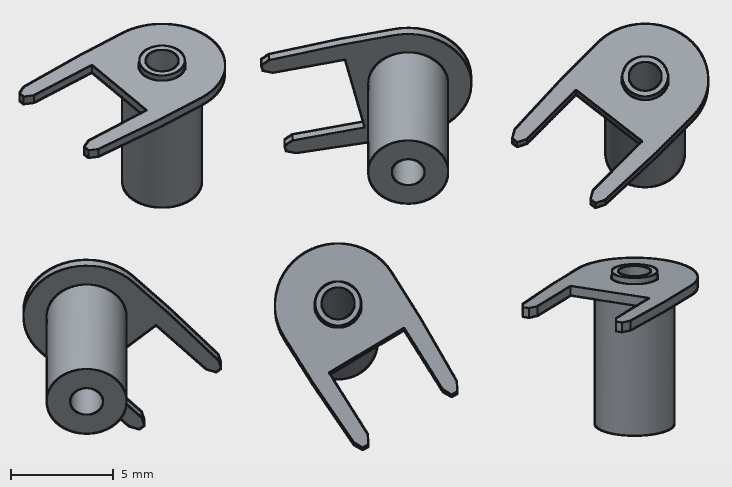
import cadquery as cq

plate_width = 6.15
plate_length = 9.8
plate_thickness = 0.5
head_radius = plate_width / 2
tip_y = head_radius - plate_length

slot_width = 4.27
slot_end_y = -2.67
point_start_y = -6.27
leg_outer_x = 2.94
tip_inner_x = 2.37
tip_outer_x = 2.7

total_height = 7.8
barrel_diameter = 3.9
barrel_length = 7.0
neck_diameter = 2.21
bore_diameter = 1.6
plate_hole_diameter = 2.29


def make_plate():
    """Plate on top of the barrel, with a clearance hole around the neck."""
    right_side = [
        (head_radius, slot_end_y),
        (leg_outer_x, point_start_y),
        (tip_outer_x, tip_y),
        (tip_inner_x, tip_y),
        (slot_width / 2, point_start_y),
        (slot_width / 2, slot_end_y),
    ]
    left_side = [(-x, y) for x, y in reversed(right_side)]
    outline = (
        cq.Workplane("XY")
        .workplane(offset=barrel_length)
        .moveTo(-head_radius, 0)
        .threePointArc((0, head_radius), (head_radius, 0))
    )
    for x, y in right_side + left_side:
        outline = outline.lineTo(x, y)
    plate = outline.close().extrude(plate_thickness)
    return plate.faces(">Z").workplane(origin=(0, 0, 0)).hole(plate_hole_diameter)


def make_bushing():
    """Barrel and narrower neck with a bore through both."""
    barrel = cq.Workplane("XY").circle(barrel_diameter / 2).extrude(barrel_length)
    neck = cq.Workplane("XY").circle(neck_diameter / 2).extrude(total_height)
    bore = cq.Workplane("XY").circle(bore_diameter / 2).extrude(total_height)
    return barrel.union(neck).cut(bore)


result = make_bushing().union(make_plate())